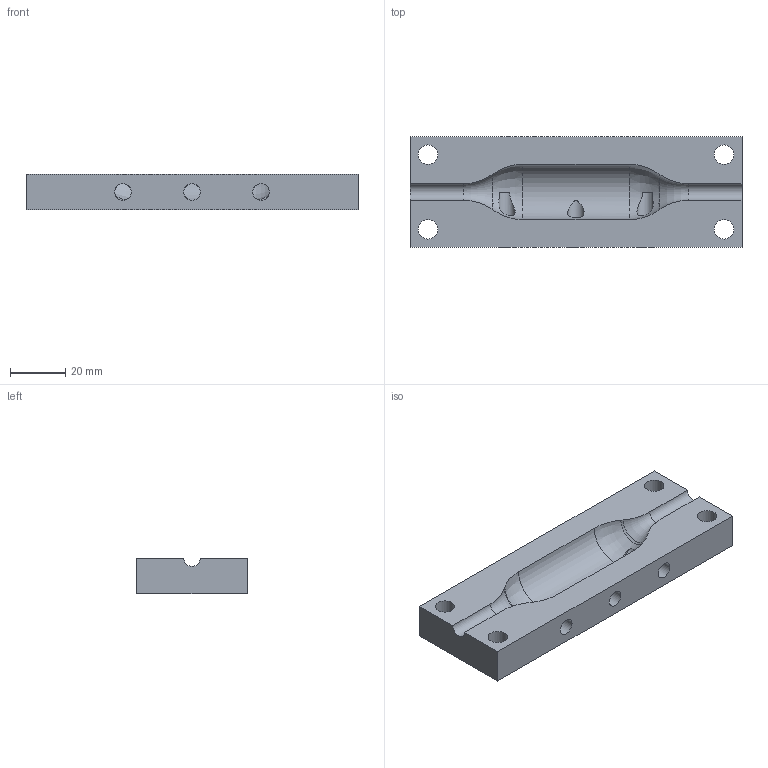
import cadquery as cq
import math

block_length = 120.0
block_width = 40.0
block_height = 13.0

channel_radius = 3.0
chamber_radius = 10.0
cone_inner_x = 25.0
cone_outer_x = 35.0
blend_radius = 18.0

bolt_hole_diameter = 7.0
bolt_hole_inset = 6.5

side_hole_diameter = 6.0
side_hole_spacing = 25.0
side_hole_depth = block_width / 2

cone_angle = math.atan2(chamber_radius - channel_radius, cone_outer_x - cone_inner_x)
tangent_length = blend_radius * math.tan(cone_angle / 2)
tangent_run = tangent_length * math.cos(cone_angle)
tangent_drop = tangent_length * math.sin(cone_angle)
chamber_end = (cone_inner_x - tangent_length, chamber_radius)
cone_start = (cone_inner_x + tangent_run, chamber_radius - tangent_drop)
cone_end = (cone_outer_x - tangent_run, channel_radius + tangent_drop)
channel_start = (cone_outer_x + tangent_length, channel_radius)


def make_block():
    return cq.Workplane("XY").rect(block_length, block_width).extrude(-block_height)


def mirrored(point):
    """The matching profile point on the -X side."""
    return (-point[0], point[1])


def make_cavity():
    """Body of revolution about X; its lower half is cut from the block."""
    end_x = block_length / 2
    return (
        cq.Workplane("XY")
        .moveTo(-end_x, 0)
        .lineTo(-end_x, channel_radius)
        .lineTo(*mirrored(channel_start))
        .radiusArc(mirrored(cone_end), -blend_radius)
        .lineTo(*mirrored(cone_start))
        .radiusArc(mirrored(chamber_end), blend_radius)
        .lineTo(*chamber_end)
        .radiusArc(cone_start, blend_radius)
        .lineTo(*cone_end)
        .radiusArc(channel_start, -blend_radius)
        .lineTo(end_x, channel_radius)
        .lineTo(end_x, 0)
        .close()
        .revolve(360, (0, 0, 0), (1, 0, 0))
    )


def make_bolt_holes():
    return (
        cq.Workplane("XY")
        .rect(
            block_length - 2 * bolt_hole_inset,
            block_width - 2 * bolt_hole_inset,
            forConstruction=True,
        )
        .vertices()
        .circle(bolt_hole_diameter / 2)
        .extrude(-block_height)
    )


def make_side_holes():
    mid_height = -block_height / 2
    centres = [(i * side_hole_spacing, mid_height) for i in (-1, 0, 1)]
    return (
        cq.Workplane("XZ", origin=(0, -block_width / 2, 0))
        .pushPoints(centres)
        .circle(side_hole_diameter / 2)
        .extrude(-side_hole_depth)
    )


result = make_block().cut(make_cavity()).cut(make_bolt_holes()).cut(make_side_holes())